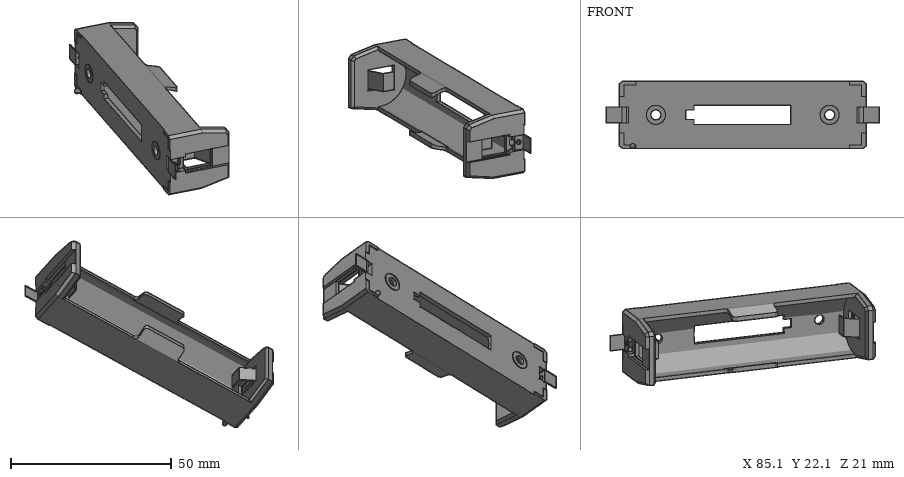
import cadquery as cq
import math


body_length = 77.0
body_half_x = body_length / 2
body_width = 21.0
body_half_z = body_width / 2
rim_y = 10.8
trough_radius = 9.3
trough_axis_y = 10.2

end_wall_thickness = 3.4
end_wall_top_y = 20.2
end_wall_top_half_z = 8.5
end_wall_corner_cut = 1.0
outer_bevel_depth = 1.0
inner_bevel_depth = 0.8
bevel_inset = 0.85
inner_x = body_half_x - end_wall_thickness

pad_height = 0.25
pad_length_x = 5.2
pad_length_z = 4.85
pad_width_x = 1.5
pad_width_z = 1.2
hole_x = 27.1
hole_radius = 1.5
ring_radius = 3.0
pin_x = -34.3
pin_diameter = 1.5
pin_z = pin_diameter / 2 - body_half_z
pin_length = 1.7
pin_tip_fillet = 0.7

slot_start_x = -15.15
slot_end_x = 14.9
slot_half_z = 3.0
key_start_x = -17.7
key_half_z = 1.45

clip_half_x = 7.6
clip_top_y = 15.5
clip_top_half_z = 9.0
clip_radius = 9.2
clip_corner_radius = 1.0

recess_half_z = 3.4
window_half_z = 3.5
window_bottom_y = 5.1
window_top_y = 14.5
recess_depth = 0.9
crossbar_thickness = 1.0
frame_bottom_y = 4.1
foot_slot_inner_x = 35.6
web_underside_radius = 9.4

overall_length = 85.1
tip_x = overall_length / 2
sheet = 0.3
foot_half_z = 2.5
jog_y = 3.1
leg_hole_radius = 0.8
leg_hole_y = 1.5
frame_half_z = 4.7
frame_top_y = 17.9
gusset_half_z = 0.9
spring_half_z = 3.0
spring_root_y = 14.4
spring_fold_x = 31.0
spring_fold_y = 11.3
spring_end_y = 7.4

recess_floor_x = body_half_x - recess_depth
frame_outer_x = recess_floor_x - crossbar_thickness
frame_inner_x = frame_outer_x - sheet
leg_outer_x = recess_floor_x + sheet


def block(x_range, y_range, half_z):
    """Box between two X and two Y limits, centred on Z = 0."""
    (x0, x1), (y0, y1) = x_range, y_range
    centre = ((x0 + x1) / 2, (y0 + y1) / 2, 0)
    return cq.Workplane("XY").box(x1 - x0, y1 - y0, 2 * half_z).translate(centre)


def round_bar(radius, y0, length, x=0.0, z=0.0):
    """Cylinder along +Y starting at y0."""
    return cq.Workplane(cq.Solid.makeCylinder(radius, length, cq.Vector(x, y0, z), cq.Vector(0, 1, 0)))


def x_cylinder(radius, axis_y, x0, x1):
    """Cylinder along X between x0 and x1."""
    return cq.Workplane(cq.Solid.makeCylinder(radius, x1 - x0, cq.Vector(x0, axis_y, 0), cq.Vector(1, 0, 0)))


def both_ends(shape):
    """A +X end feature together with its mirror image at the -X end."""
    return shape.union(shape.mirror("YZ"))


def bevel(outline, x, depth):
    """Slab on an outline at x that shrinks by the bevel inset over a signed depth along X."""
    taper = math.degrees(math.atan2(bevel_inset, abs(depth)))
    return cq.Workplane("YZ", origin=(x, 0, 0)).polyline(outline).close().extrude(depth, taper=taper)


def end_wall():
    """Tapered wall at the +X end, bevelled on its outer edges and on its inner edges above the rim."""
    below_base = -2 * bevel_inset
    slope = (body_half_z - end_wall_top_half_z) / (end_wall_top_y - rim_y)
    outline = [
        (below_base, -body_half_z),
        (rim_y, -body_half_z),
        (end_wall_top_y, -end_wall_top_half_z),
        (end_wall_top_y, end_wall_top_half_z - end_wall_corner_cut),
        (end_wall_top_y - end_wall_corner_cut, end_wall_top_half_z + slope * end_wall_corner_cut),
        (rim_y, body_half_z),
        (below_base, body_half_z),
    ]
    core_start = inner_x + inner_bevel_depth
    core_end = body_half_x - outer_bevel_depth
    core = cq.Workplane("YZ", origin=(core_start, 0, 0)).polyline(outline).close()
    core = core.extrude(core_end - core_start)
    wall = core.union(bevel(outline, core_end, outer_bevel_depth))
    wall = wall.union(bevel(outline, core_start, -inner_bevel_depth))
    return wall.intersect(block((0, body_half_x), (-pad_height, end_wall_top_y), body_half_z))


def tray():
    """Base, side walls and end walls around a round-bottomed trough."""
    core_half_x = body_half_x - outer_bevel_depth
    shape = block((-core_half_x, core_half_x), (-pad_height, rim_y), body_half_z)
    shape = shape.union(both_ends(end_wall()))
    cavity = x_cylinder(trough_radius, trough_axis_y, -inner_x, inner_x)
    cavity = cavity.union(block((-inner_x, inner_x), (trough_axis_y, rim_y), trough_radius))
    return shape.cut(cavity)


def base_relief():
    """Layer taken off the underside to leave the corner pads and the rings standing."""
    layer_y = (-pad_height, 0)
    pads = block((body_half_x - pad_length_x, body_half_x), layer_y, body_half_z)
    pads = pads.cut(block((0, body_half_x - pad_width_x), layer_y, body_half_z - pad_width_z))
    pads = pads.cut(block((0, body_half_x), layer_y, body_half_z - pad_length_z))
    ring = round_bar(ring_radius, -pad_height, pad_height, x=hole_x)
    layer = block((-body_half_x, body_half_x), layer_y, body_half_z)
    return layer.cut(both_ends(pads)).cut(both_ends(ring))


def base_openings():
    """Two screw holes and the keyed slot, all through the base."""
    depth = (-pad_height, trough_axis_y)
    hole = round_bar(hole_radius, -pad_height, trough_axis_y, x=hole_x)
    slot = block((slot_start_x, slot_end_x), depth, slot_half_z)
    key = block((key_start_x, slot_start_x), depth, key_half_z)
    return slot.union(key).union(both_ends(hole))


def clips():
    """Clips with a round inner face that carry both side walls on around the cell, filleted at root and corners."""
    r = clip_corner_radius
    half = (
        cq.Workplane("XY").workplane(offset=-body_half_z)
        .moveTo(0, trough_axis_y)
        .lineTo(clip_half_x + r, trough_axis_y)
        .lineTo(clip_half_x + r, rim_y)
        .radiusArc((clip_half_x, rim_y + r), r)
        .lineTo(clip_half_x, clip_top_y - r)
        .radiusArc((clip_half_x - r, clip_top_y), -r)
        .lineTo(0, clip_top_y)
        .close()
        .extrude(2 * body_half_z)
    )
    end_x = clip_half_x + r
    section = [(trough_axis_y, body_half_z), (rim_y, body_half_z), (clip_top_y, clip_top_half_z)]
    section += [(y, -z) for y, z in reversed(section)]
    shell = cq.Workplane("YZ", origin=(-end_x, 0, 0)).polyline(section).close().extrude(2 * end_x)
    shell = shell.cut(x_cylinder(clip_radius, trough_axis_y, -end_x, end_x))
    return shell.intersect(both_ends(half))


def locating_pin():
    """Pin with a rounded tip under one corner pad."""
    pin = round_bar(pin_diameter / 2, -pad_height - pin_length, pin_length, x=pin_x, z=pin_z)
    return pin.faces("<Y").edges().fillet(pin_tip_fillet)


def end_wall_openings():
    """Window, recess and terminal passages of the +X end wall."""
    recess = block((recess_floor_x, body_half_x), (window_bottom_y, end_wall_top_y), recess_half_z)
    window = block((inner_x, recess_floor_x), (window_bottom_y, window_top_y), window_half_z)
    outer_notch = block((recess_floor_x, body_half_x), (-pad_height, window_bottom_y), foot_half_z)
    pocket = block((frame_outer_x, recess_floor_x), (-pad_height, window_bottom_y), foot_half_z)
    foot_slot = block((foot_slot_inner_x, frame_outer_x), (-pad_height, frame_bottom_y), foot_half_z)
    web = x_cylinder(web_underside_radius, jog_y + web_underside_radius, foot_slot_inner_x, frame_outer_x)
    openings = recess
    for cutter in (window, outer_notch, pocket, foot_slot.cut(web)):
        openings = openings.union(cutter)
    return openings


def leaf_spring():
    """Leaf that hangs from the top of the frame opening, slants inward and folds down to a free end."""
    drop = (spring_root_y - spring_fold_y) / (frame_inner_x - spring_fold_x)
    slant_height = sheet * math.hypot(1, drop)
    fold_outer_x = spring_fold_x + sheet
    underside_fold_y = spring_fold_y + drop * sheet - slant_height
    return (
        cq.Workplane("XY").workplane(offset=-spring_half_z)
        .polyline([
            (frame_outer_x, window_top_y),
            (frame_inner_x, window_top_y),
            (frame_inner_x, spring_root_y),
            (spring_fold_x, spring_fold_y),
            (spring_fold_x, spring_end_y),
            (fold_outer_x, spring_end_y),
            (fold_outer_x, underside_fold_y),
            (frame_outer_x, spring_root_y + drop * sheet - slant_height),
        ])
        .close().extrude(2 * spring_half_z)
    )


def terminal():
    """Bent sheet contact of the +X end: solder foot, stepped leg, frame in the wall and leaf spring."""
    foot = block((recess_floor_x, tip_x), (-pad_height, sheet - pad_height), foot_half_z)
    leg = block((recess_floor_x, leg_outer_x), (-pad_height, jog_y), foot_half_z)
    leg = leg.cut(x_cylinder(leg_hole_radius, leg_hole_y, recess_floor_x, leg_outer_x))
    jog = block((frame_inner_x, leg_outer_x), (jog_y - sheet, jog_y), foot_half_z)
    riser = block((frame_inner_x, frame_outer_x), (jog_y, frame_bottom_y), foot_half_z)
    frame = block((frame_inner_x, frame_outer_x), (frame_bottom_y, frame_top_y), frame_half_z)
    frame = frame.cut(block((frame_inner_x, frame_outer_x), (window_bottom_y, window_top_y), window_half_z))
    gusset = (
        cq.Workplane("XY").workplane(offset=-gusset_half_z)
        .polyline([
            (frame_outer_x, jog_y),
            (recess_floor_x, jog_y),
            (frame_outer_x, frame_bottom_y),
        ])
        .close().extrude(2 * gusset_half_z)
    )
    part = foot
    for piece in (leg, jog, riser, frame, gusset, leaf_spring()):
        part = part.union(piece)
    return part


end_terminal = terminal()
terminals = [end_terminal, end_terminal.mirror("YZ")]

housing = tray().union(clips()).cut(base_relief()).cut(base_openings()).union(locating_pin())
housing = housing.cut(both_ends(end_wall_openings()))
for contact in terminals:
    housing = housing.cut(contact)

result = cq.Compound.makeCompound([housing.val(), *[contact.val() for contact in terminals]])